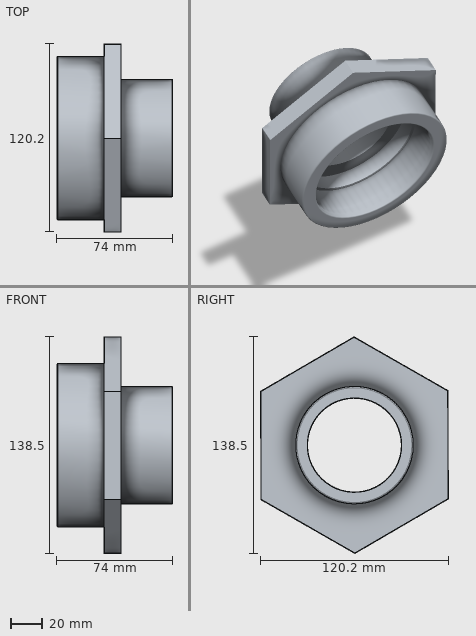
import cadquery as cq

total_length = 74.0
flange_start = 30.0
flange_thickness = 11.0
flange_end = flange_start + flange_thickness

hex_across_corners = 138.5
hex_turn = 0.23

socket_diameter = 104.9
spigot_diameter = 75.2
rim_radius = 0.8

socket_bore_diameter = 85.0
socket_bore_depth = 24.1
step_bore_diameter = 80.6
step_bore_depth = 34.6
through_diameter = 60.1


def cylinder(diameter, start, end):
    """Solid cylinder on the X axis between two X positions."""
    return cq.Workplane("YZ", origin=(start, 0, 0)).circle(diameter / 2).extrude(end - start)


socket = cylinder(socket_diameter, 0, flange_start)
spigot = cylinder(spigot_diameter, flange_end, total_length).faces(">X").edges().fillet(rim_radius)
flange = (
    cq.Workplane("YZ", origin=(flange_start, 0, 0))
    .polygon(6, hex_across_corners)
    .extrude(flange_thickness)
    .rotate((0, 0, 0), (1, 0, 0), 90 + hex_turn)
)
body = socket.union(flange).union(spigot)

body = body.cut(cylinder(through_diameter, 0, total_length))
body = body.cut(cylinder(step_bore_diameter, 0, step_bore_depth))
body = body.cut(cylinder(socket_bore_diameter, 0, socket_bore_depth))

result = body.faces("<X").edges().fillet(rim_radius)